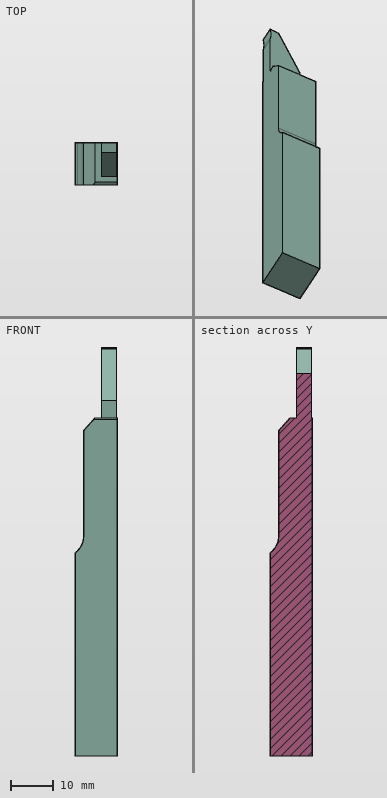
import cadquery as cq
import math

shank_size = 10.0
shoulder_height = 80.0
overall_height = 96.6

relief_depth = 2.0
relief_start_height = 48.0
relief_radius = 5.0
relief_ramp_angle = math.radians(45.0)

bevel_width = 2.7
bevel_height = 3.0

front_bevel_depth = 0.7
front_bevel_height = 0.4

blade_thickness = 3.6
blade_side_inset = 0.2
blade_depth = 8.0
tip_depth = 2.3
tip_clearance_angle = math.radians(7.0)
blade_slope_angle = math.radians(25.0)

hollow_length = 4.0
hollow_depth = 0.2


def make_shank():
    """Square bar with a relieved, bevelled upper part."""
    ramp_cos = math.cos(relief_ramp_angle)
    ramp_sin = math.sin(relief_ramp_angle)
    ramp_end_x = relief_depth - relief_radius * (1 - ramp_cos)
    ramp_end_z = relief_start_height + ramp_end_x / math.tan(relief_ramp_angle)
    arc_end_z = ramp_end_z + relief_radius * ramp_sin
    arc_center_x = relief_depth - relief_radius
    arc_middle_x = arc_center_x + relief_radius * math.cos(relief_ramp_angle / 2)
    arc_middle_z = arc_end_z - relief_radius * math.sin(relief_ramp_angle / 2)

    outline = (
        cq.Workplane("XZ")
        .moveTo(0, 0)
        .lineTo(0, relief_start_height)
        .lineTo(ramp_end_x, ramp_end_z)
        .threePointArc((arc_middle_x, arc_middle_z), (relief_depth, arc_end_z))
        .lineTo(relief_depth, shoulder_height - bevel_height)
        .lineTo(relief_depth + bevel_width, shoulder_height)
        .lineTo(shank_size, shoulder_height)
        .lineTo(shank_size, 0)
        .close()
    )
    return outline.extrude(-shank_size)


def make_front_bevel():
    """Wedge removed from the front edge of the shoulder."""
    return (
        cq.Workplane("YZ")
        .moveTo(0, shoulder_height)
        .lineTo(front_bevel_depth, shoulder_height)
        .lineTo(0, shoulder_height - front_bevel_height)
        .close()
        .extrude(shank_size)
    )


def make_blade():
    """Plate with a sloping front edge, a tip falling towards the front and a hollow back."""
    back_y = shank_size
    front_y = back_y - blade_depth
    tip_front_y = back_y - tip_depth
    tip_front_z = overall_height - tip_depth * math.tan(tip_clearance_angle)
    slope_height = (blade_depth - tip_depth) / math.tan(blade_slope_angle)
    hollow_middle = (back_y - hollow_depth, overall_height - hollow_length / 2)
    blade_start_x = shank_size - blade_side_inset - blade_thickness

    return (
        cq.Workplane("YZ", origin=(blade_start_x, 0, 0))
        .moveTo(front_y, shoulder_height)
        .lineTo(front_y, tip_front_z - slope_height)
        .lineTo(tip_front_y, tip_front_z)
        .lineTo(back_y, overall_height)
        .threePointArc(hollow_middle, (back_y, overall_height - hollow_length))
        .lineTo(back_y, shoulder_height)
        .close()
        .extrude(blade_thickness)
    )


result = make_shank().cut(make_front_bevel()).union(make_blade())